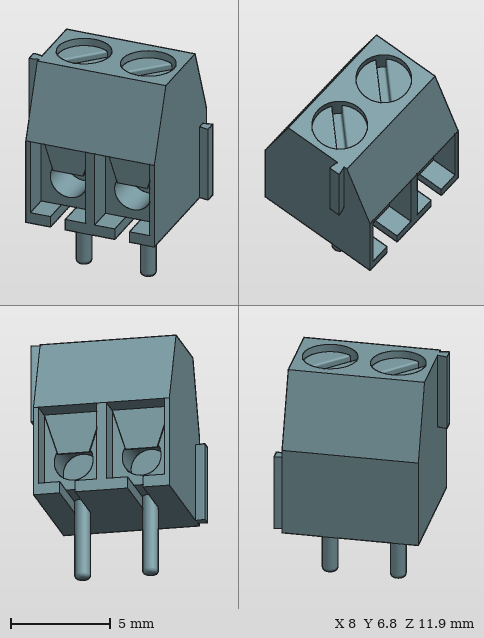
import cadquery as cq


WIDTH = 7.0
DEPTH = 6.8
HEIGHT = 8.4
SHOULDER_HEIGHT = 4.6
TOP_DEPTH = 3.8
FRONT_Y = -DEPTH / 2

PITCH = WIDTH / 2
TERMINAL_XS = (-PITCH / 2, PITCH / 2)

POCKET_WIDTH = 3.0
POCKET_DEPTH = 1.4
FLOOR_THICKNESS = 0.6
POCKET_BACK_Y = FRONT_Y + POCKET_DEPTH
WIRE_HOLE_DIAMETER = 2.0
WIRE_HOLE_DEPTH = 2.0
WIRE_HOLE_HEIGHT = 2.1

FLAP_BOTTOM_WIDTH = 1.63
FLAP_BOTTOM_HEIGHT = 2.5
FLAP_THICKNESS = 0.1

RIB_REACH = 0.5
RIB_LIP = 0.1
RIB_ROOT_WIDTH = 0.43
RIB_TIP_WIDTH = 0.6
RIB_LENGTH = 4.0
LEFT_RIB_FROM_FRONT = 1.9
RIGHT_RIB_FROM_BACK = 0.7

SCREW_DIAMETER = 2.8
SCREW_RECESS = 0.4
SCREW_TOP = HEIGHT - SCREW_RECESS
SCREW_LENGTH = SCREW_TOP - SHOULDER_HEIGHT
SLOT_WIDTH = 0.5
SLOT_DEPTH = 0.8
SLOT_ROUND = 0.11
SLOT_ANGLE = 45

PIN_DIAMETER = 0.8
PIN_PROTRUSION = 3.5
PIN_TIP_ROUND = 0.2


def make_block():
    """Housing outline, leaning in above the shoulder on both long sides."""
    return (
        cq.Workplane("YZ")
        .moveTo(-DEPTH / 2, 0)
        .lineTo(DEPTH / 2, 0)
        .lineTo(DEPTH / 2, SHOULDER_HEIGHT)
        .lineTo(TOP_DEPTH / 2, HEIGHT)
        .lineTo(-TOP_DEPTH / 2, HEIGHT)
        .lineTo(-DEPTH / 2, SHOULDER_HEIGHT)
        .close()
        .extrude(WIDTH / 2, both=True)
    )


def make_rib(side, y, bottom):
    """Dovetail rib on the end wall at side (-1 or +1), centred on y."""
    root_x = side * WIDTH / 2
    tip_x = root_x + side * RIB_REACH
    lip_x = tip_x - side * RIB_LIP
    return (
        cq.Workplane("XY", origin=(0, y, bottom))
        .moveTo(root_x, -RIB_ROOT_WIDTH / 2)
        .lineTo(lip_x, -RIB_TIP_WIDTH / 2)
        .lineTo(tip_x, -RIB_TIP_WIDTH / 2)
        .lineTo(tip_x, RIB_TIP_WIDTH / 2)
        .lineTo(lip_x, RIB_TIP_WIDTH / 2)
        .lineTo(root_x, RIB_ROOT_WIDTH / 2)
        .close()
        .extrude(RIB_LENGTH)
    )


def make_pocket(x):
    """Rectangular wire entry pocket, open to the front."""
    return (
        cq.Workplane("XY", origin=(x, FRONT_Y, FLOOR_THICKNESS))
        .rect(POCKET_WIDTH, 2 * POCKET_DEPTH)
        .extrude(SHOULDER_HEIGHT - FLOOR_THICKNESS)
    )


def make_wire_hole(x):
    """Blind round hole running back from the pocket's back wall."""
    return (
        cq.Workplane("XZ", origin=(x, POCKET_BACK_Y, WIRE_HOLE_HEIGHT))
        .circle(WIRE_HOLE_DIAMETER / 2)
        .extrude(-WIRE_HOLE_DEPTH)
    )


def make_pin_slot(x):
    """Slot through the floor, from the front to the pin, with a round end."""
    channel = (
        cq.Workplane("XY", origin=(x, FRONT_Y / 2, 0))
        .rect(PIN_DIAMETER, DEPTH / 2)
        .extrude(FLOOR_THICKNESS)
    )
    round_end = (
        cq.Workplane("XY", origin=(x, 0, 0))
        .circle(PIN_DIAMETER / 2)
        .extrude(FLOOR_THICKNESS)
    )
    return channel.union(round_end)


def make_screw_bore(x):
    """Bore that holds the screw, open at the housing top."""
    return (
        cq.Workplane("XY", origin=(x, 0, HEIGHT))
        .circle(SCREW_DIAMETER / 2)
        .extrude(-(SCREW_RECESS + SCREW_LENGTH))
    )


def make_flap(x):
    """Thin tapered flap on the pocket's back wall, as wide as the pocket at its top."""
    return (
        cq.Workplane("XZ", origin=(x, POCKET_BACK_Y, 0))
        .moveTo(-POCKET_WIDTH / 2, SHOULDER_HEIGHT)
        .lineTo(POCKET_WIDTH / 2, SHOULDER_HEIGHT)
        .lineTo(FLAP_BOTTOM_WIDTH / 2, FLAP_BOTTOM_HEIGHT)
        .lineTo(-FLAP_BOTTOM_WIDTH / 2, FLAP_BOTTOM_HEIGHT)
        .close()
        .extrude(FLAP_THICKNESS)
    )


def make_housing():
    """Block with end ribs, and the cuts and flap of each terminal."""
    left_rib = make_rib(-1, FRONT_Y + LEFT_RIB_FROM_FRONT, HEIGHT - RIB_LENGTH)
    right_rib = make_rib(1, DEPTH / 2 - RIGHT_RIB_FROM_BACK, 0)
    housing = make_block().union(left_rib).union(right_rib)
    for x in TERMINAL_XS:
        housing = (
            housing.cut(make_pocket(x))
            .cut(make_wire_hole(x))
            .cut(make_pin_slot(x))
            .cut(make_screw_bore(x))
            .union(make_flap(x))
        )
    return housing


def make_screw_slot(x):
    """Driver slot whose section flares at the top and rounds in at the floor."""
    half = SLOT_WIDTH / 2
    r = SLOT_ROUND
    plane = cq.Plane(origin=(x, 0, SCREW_TOP), xDir=(1, 0, 0), normal=(0, -1, 0))
    return (
        cq.Workplane(plane)
        .moveTo(-half - r, 0)
        .radiusArc((-half, -r), r)
        .lineTo(-half, r - SLOT_DEPTH)
        .radiusArc((r - half, -SLOT_DEPTH), -r)
        .lineTo(half - r, -SLOT_DEPTH)
        .radiusArc((half, r - SLOT_DEPTH), -r)
        .lineTo(half, -r)
        .radiusArc((half + r, 0), r)
        .close()
        .extrude(SCREW_DIAMETER, both=True)
        .rotate((x, 0, 0), (x, 0, 1), -SLOT_ANGLE)
    )


def make_screw(x):
    """Plain round clamp screw with a driver slot across its top."""
    blank = (
        cq.Workplane("XY", origin=(x, 0, SCREW_TOP))
        .circle(SCREW_DIAMETER / 2)
        .extrude(-SCREW_LENGTH)
    )
    return blank.cut(make_screw_slot(x))


def make_pin(x):
    """Solder pin with a rounded tip, filling the round end of its floor slot."""
    return (
        cq.Workplane("XY", origin=(x, 0, -PIN_PROTRUSION))
        .circle(PIN_DIAMETER / 2)
        .extrude(PIN_PROTRUSION + FLOOR_THICKNESS)
        .faces("<Z")
        .edges()
        .fillet(PIN_TIP_ROUND)
    )


housing = make_housing()
screws = [make_screw(x) for x in TERMINAL_XS]
pins = [make_pin(x) for x in TERMINAL_XS]

bodies = [housing, *screws, *pins]
result = cq.Compound.makeCompound([body.solids().val() for body in bodies])